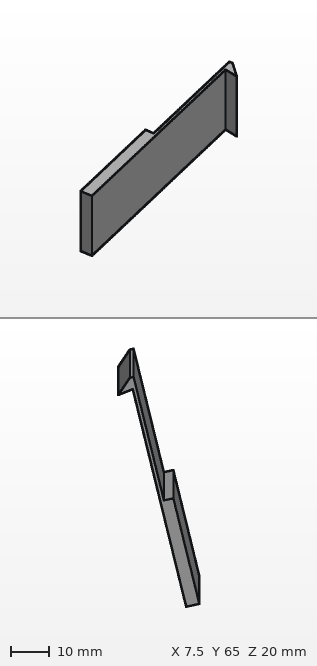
import math

import cadquery as cq

total_length = 65.0
width = 20.0

block_length = 30.0
block_thickness = 3.5

arm_thickness = 1.0

hook_reach = 4.0
hook_undercut_angle = 10.0

hook_tip_y = total_length - hook_reach
hook_root_y = hook_tip_y + hook_reach * math.tan(math.radians(hook_undercut_angle))


def clip_profile():
    """Outline in the XY plane; the flat +X face of arm and block lies on X = 0."""
    return (
        cq.Workplane("XY")
        .moveTo(-block_thickness, 0)
        .lineTo(0, 0)
        .lineTo(0, hook_root_y)
        .lineTo(hook_reach, hook_tip_y)
        .lineTo(0, total_length)
        .lineTo(-arm_thickness, total_length)
        .lineTo(-arm_thickness, block_length)
        .lineTo(-block_thickness, block_length)
        .close()
    )


result = clip_profile().extrude(width)